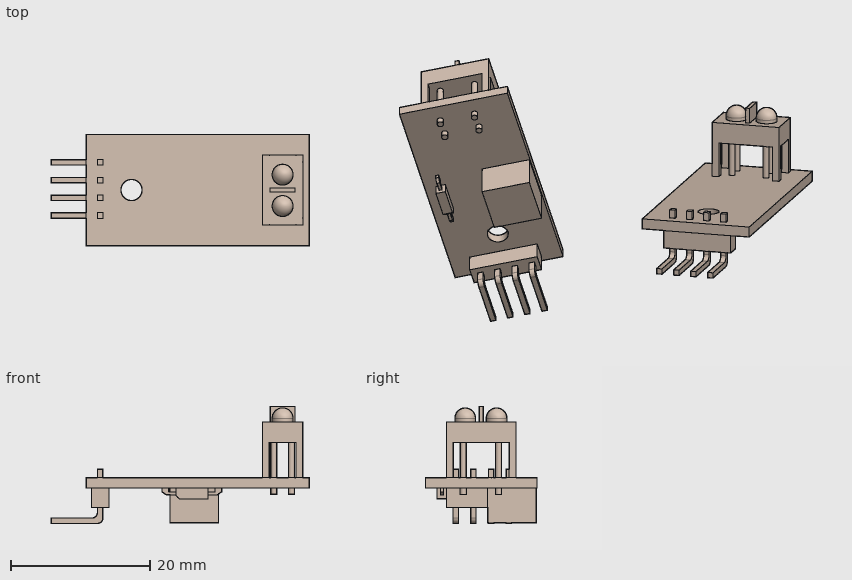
import cadquery as cq

BOARD_LENGTH = 32.0
BOARD_WIDTH = 16.0
BOARD_THICKNESS = 1.5
MOUNT_HOLE_DIAMETER = 3.0
MOUNT_HOLE_FROM_END = 6.5

PIN_COUNT = 4
PIN_PITCH = 2.54
PIN_SIZE = 0.8
PIN_ABOVE_BOARD = 1.2
PIN_BELOW_BOARD = 5.1
PIN_OVERHANG = 5.02
PIN_BEND_RADIUS = 0.8
PIN_ROW_Y = 0.15
HEADER_LENGTH = 2.54
HEADER_WIDTH = 10.0
HEADER_HEIGHT = 2.8
HEADER_FROM_END = 2.0

SENSOR_X = 12.17
HOUSING_LENGTH = 5.8
HOUSING_WIDTH = 10.0
HOUSING_HEIGHT = 8.0
LEG_HEIGHT = 5.0
LEG_SIZE = 1.0
ELEMENT_Y = -0.05
DOME_RADIUS = 1.5
DOME_BASE_HEIGHT = 0.5
DOME_SPACING = 4.5
FIN_LENGTH = 3.6
FIN_THICKNESS = 0.6
FIN_HEIGHT = 2.2
SENSOR_PIN_DIAMETER = 0.9
SENSOR_PIN_PITCH_X = 2.54
SENSOR_PIN_PITCH_Y = 5.08
SENSOR_PIN_BELOW_BOARD = 0.9

TRIMMER_SIZE = 7.0
TRIMMER_HEIGHT = 5.0
TRIMMER_X = -0.5
TRIMMER_Y = 4.4

CHIP_X = -0.85
CHIP_Y = -5.65
CHIP_LENGTH = 4.6
CHIP_WIDTH = 1.4
CHIP_HEIGHT = 1.55
CHIP_CHAMFER = 0.5
LEAD_SPAN = 8.6
LEAD_WIDTH = 0.45
LEAD_HEIGHT = 1.0
LEAD_ARM_THICKNESS = 0.45
LEAD_FOOT_LENGTH = 1.0
LEAD_CHAMFER_LENGTH = 0.65
LEAD_CHAMFER_HEIGHT = 0.45

BOARD_END_X = -BOARD_LENGTH / 2
HEADER_X = BOARD_END_X + HEADER_FROM_END
HOUSING_TOP_Z = BOARD_THICKNESS + HOUSING_HEIGHT


def block(length, width, height, x, y, bottom_z):
    """Box centred on (x, y) and rising from bottom_z."""
    box = cq.Workplane("XY").box(length, width, height, centered=(True, True, False))
    return box.translate((x, y, bottom_z))


def hanging_block(length, width, height, x, y):
    """Box centred on (x, y) and hanging from the board's underside."""
    return block(length, width, height, x, y, -height)


def make_board():
    board = block(BOARD_LENGTH, BOARD_WIDTH, BOARD_THICKNESS, 0, 0, 0)
    hole = (
        cq.Workplane("XY")
        .center(BOARD_END_X + MOUNT_HOLE_FROM_END, 0)
        .circle(MOUNT_HOLE_DIAMETER / 2)
        .extrude(BOARD_THICKNESS)
    )
    return board.cut(hole)


def make_header_pin(y):
    """Square pin dropping through the board and bending out past its end."""
    upright_right = HEADER_X + PIN_SIZE / 2
    upright_left = HEADER_X - PIN_SIZE / 2
    top_z = BOARD_THICKNESS + PIN_ABOVE_BOARD
    run_top_z = -PIN_BELOW_BOARD + PIN_SIZE
    tip_x = BOARD_END_X - PIN_OVERHANG
    pin = (
        cq.Workplane("XZ")
        .moveTo(upright_left, top_z)
        .lineTo(upright_right, top_z)
        .lineTo(upright_right, -PIN_BELOW_BOARD + PIN_BEND_RADIUS)
        .radiusArc((upright_right - PIN_BEND_RADIUS, -PIN_BELOW_BOARD), PIN_BEND_RADIUS)
        .lineTo(tip_x, -PIN_BELOW_BOARD)
        .lineTo(tip_x, run_top_z)
        .lineTo(upright_left - PIN_BEND_RADIUS, run_top_z)
        .radiusArc((upright_left, run_top_z + PIN_BEND_RADIUS), -PIN_BEND_RADIUS)
        .close()
        .extrude(PIN_SIZE / 2, both=True)
    )
    return pin.translate((0, y, 0))


def make_header():
    header = hanging_block(HEADER_LENGTH, HEADER_WIDTH, HEADER_HEIGHT, HEADER_X, 0)
    first_pin_y = PIN_ROW_Y - PIN_PITCH * (PIN_COUNT - 1) / 2
    for index in range(PIN_COUNT):
        header = header.union(make_header_pin(first_pin_y + index * PIN_PITCH))
    return header


def make_housing():
    """Block on four corner legs, open between the legs on all sides."""
    housing = block(HOUSING_LENGTH, HOUSING_WIDTH, HOUSING_HEIGHT, SENSOR_X, 0, BOARD_THICKNESS)
    gap_length = HOUSING_LENGTH - 2 * LEG_SIZE
    gap_width = HOUSING_WIDTH - 2 * LEG_SIZE
    gap_along_x = block(HOUSING_LENGTH, gap_width, LEG_HEIGHT, SENSOR_X, 0, BOARD_THICKNESS)
    gap_along_y = block(gap_length, HOUSING_WIDTH, LEG_HEIGHT, SENSOR_X, 0, BOARD_THICKNESS)
    return housing.cut(gap_along_x).cut(gap_along_y)


def make_dome(y):
    """Short cylinder capped by a hemisphere, made by turning its half section."""
    dome_height = DOME_BASE_HEIGHT + DOME_RADIUS
    dome = (
        cq.Workplane("XZ")
        .lineTo(DOME_RADIUS, 0)
        .lineTo(DOME_RADIUS, DOME_BASE_HEIGHT)
        .radiusArc((0, dome_height), -DOME_RADIUS)
        .close()
        .revolve(360, (0, 0, 0), (0, 1, 0))
    )
    return dome.translate((SENSOR_X, y, HOUSING_TOP_Z))


def make_sensor():
    sensor = make_housing()
    for side in (-1, 1):
        sensor = sensor.union(make_dome(ELEMENT_Y + side * DOME_SPACING / 2))
    fin = block(FIN_LENGTH, FIN_THICKNESS, FIN_HEIGHT, SENSOR_X, 0, HOUSING_TOP_Z)
    pins = (
        cq.Workplane("XY", origin=(SENSOR_X, ELEMENT_Y, -SENSOR_PIN_BELOW_BOARD))
        .rarray(SENSOR_PIN_PITCH_X, SENSOR_PIN_PITCH_Y, 2, 2)
        .circle(SENSOR_PIN_DIAMETER / 2)
        .extrude(SENSOR_PIN_BELOW_BOARD + BOARD_THICKNESS + LEG_HEIGHT)
    )
    return sensor.union(fin).union(pins)


def make_chip():
    """Small body with one chamfered lower edge, on a lead strip bent up to the board."""
    body = hanging_block(CHIP_LENGTH, CHIP_WIDTH, CHIP_HEIGHT, CHIP_X, CHIP_Y)
    body = body.edges("<X and <Z").chamfer(CHIP_CHAMFER)
    half_span = LEAD_SPAN / 2
    half_inner = half_span - LEAD_FOOT_LENGTH
    chamfer_top_z = -LEAD_HEIGHT + LEAD_CHAMFER_HEIGHT
    chamfer_end = half_span - LEAD_CHAMFER_LENGTH
    arm_top_z = -LEAD_HEIGHT + LEAD_ARM_THICKNESS
    leads = (
        cq.Workplane("XZ")
        .moveTo(-half_span, 0)
        .lineTo(-half_span, chamfer_top_z)
        .lineTo(-chamfer_end, -LEAD_HEIGHT)
        .lineTo(chamfer_end, -LEAD_HEIGHT)
        .lineTo(half_span, chamfer_top_z)
        .lineTo(half_span, 0)
        .lineTo(half_inner, 0)
        .lineTo(half_inner, arm_top_z)
        .lineTo(-half_inner, arm_top_z)
        .lineTo(-half_inner, 0)
        .close()
        .extrude(LEAD_WIDTH / 2, both=True)
        .translate((CHIP_X, CHIP_Y, 0))
    )
    return body.union(leads)


trimmer = hanging_block(TRIMMER_SIZE, TRIMMER_SIZE, TRIMMER_HEIGHT, TRIMMER_X, TRIMMER_Y)

result = make_board()
for component in (make_header(), make_sensor(), trimmer, make_chip()):
    result = result.union(component)